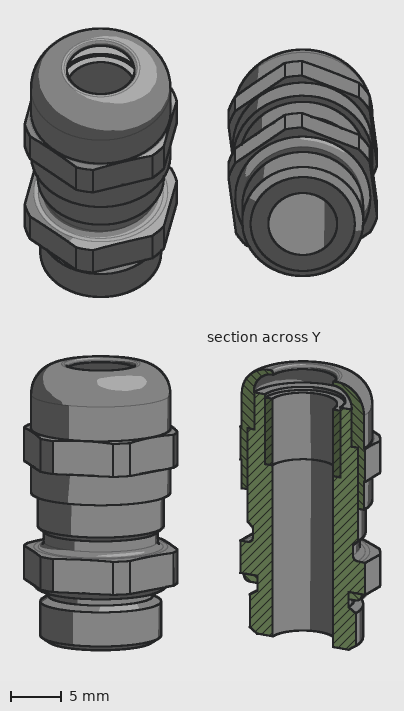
import cadquery as cq
import math


across_flats = 14.0
across_corners = 15.3

bore_radius = 3.39
seal_radius = 4.2
seal_top = 24.8
seal_length = 6.95

entry_radius = 5.97
entry_neck_radius = 5.13
entry_chamfer_height = 0.55
entry_thread_top = 3.97
entry_neck_bottom = 4.5
body_hex_bottom = 6.02
body_hex_top = 9.44
body_hex_face_radius = 6.6
body_hex_corner_drop = 0.1
upper_neck_radius = 5.63
upper_neck_fillet = 0.53
upper_neck_top = 11.02
cap_thread_radius = 6.22
cap_thread_bottom = 11.52
crown_radius = 5.47

cap_top = 27.75
cap_bottom = 14.87
cap_radius = 6.88
cap_hex_bottom = 17.85
cap_hex_top = 21.28
cap_hex_face_radius = 7.05
cap_hex_corner_drop = 0.15
dome_radius = 3.02
lip_radius = 3.33
lip_fillet = 0.28
lip_thickness = 0.47

lip_bottom = cap_top - lip_thickness
inner_dome_radius = crown_radius - lip_radius
crown_top = lip_bottom - inner_dome_radius

cap_thread_top = cap_hex_top

gasket_radius = 6.65
gasket_height = 0.75


def revolve_about_z(profile):
    """Close a half-section drawn as (radius, z) and turn it about the Z axis."""
    return profile.close().revolve(360, (0, 0, 0), (0, 1, 0))


def cylinder(radius, bottom, top):
    return cq.Workplane("XY").workplane(offset=bottom).circle(radius).extrude(top - bottom)


def arc_middle(centre_radius, centre_z, arc_radius, radial_sign=1, vertical_sign=1):
    """Return the middle point of a quarter arc."""
    reach = arc_radius * math.sqrt(0.5)
    return (centre_radius + radial_sign * reach, centre_z + vertical_sign * reach)


def make_hexagon(bottom, top, face_radius, corner_drop):
    """Hexagonal collar with rounded corners and a shallow conical top."""
    corner_radius = across_corners / 2
    prism = (
        cq.Workplane("XY")
        .workplane(offset=bottom)
        .polygon(6, across_flats, circumscribed=True)
        .extrude(top - bottom)
    )
    envelope = revolve_about_z(
        cq.Workplane("XZ")
        .moveTo(0, bottom)
        .lineTo(corner_radius, bottom)
        .lineTo(corner_radius, top - corner_drop)
        .lineTo(face_radius, top)
        .lineTo(0, top)
    )
    return prism.intersect(envelope)


def make_gasket():
    bottom = body_hex_bottom - gasket_height
    arc_centre_radius = gasket_radius - gasket_height
    return revolve_about_z(
        cq.Workplane("XZ")
        .moveTo(entry_neck_radius, bottom)
        .lineTo(arc_centre_radius, bottom)
        .threePointArc(
            arc_middle(arc_centre_radius, body_hex_bottom, gasket_height, 1, -1),
            (gasket_radius, body_hex_bottom),
        )
        .lineTo(entry_neck_radius, body_hex_bottom)
    )


def make_seal():
    sleeve = cylinder(seal_radius, seal_top - seal_length, seal_top)
    return sleeve.cut(cylinder(bore_radius, seal_top - seal_length, seal_top))


def make_body():
    fillet_outer = upper_neck_radius + upper_neck_fillet
    fillet_top = body_hex_top + upper_neck_fillet
    stem = revolve_about_z(
        cq.Workplane("XZ")
        .moveTo(0, 0)
        .lineTo(entry_neck_radius, 0)
        .lineTo(entry_radius, entry_chamfer_height)
        .lineTo(entry_radius, entry_thread_top)
        .lineTo(entry_neck_radius, entry_neck_bottom)
        .lineTo(entry_neck_radius, body_hex_top)
        .lineTo(fillet_outer, body_hex_top)
        .threePointArc(
            arc_middle(fillet_outer, fillet_top, upper_neck_fillet, -1, -1),
            (upper_neck_radius, fillet_top),
        )
        .lineTo(upper_neck_radius, upper_neck_top)
        .lineTo(cap_thread_radius, cap_thread_bottom)
        .lineTo(cap_thread_radius, cap_thread_top)
        .lineTo(crown_radius, cap_thread_top)
        .lineTo(crown_radius, crown_top)
        .lineTo(0, crown_top)
    )
    collar = make_hexagon(
        body_hex_bottom, body_hex_top, body_hex_face_radius, body_hex_corner_drop
    )
    bore = cylinder(bore_radius, 0, crown_top)
    seal_pocket = cylinder(seal_radius, seal_top - seal_length, crown_top)
    return stem.union(collar).cut(bore).cut(seal_pocket)


def make_cap():
    dome_centre_radius = cap_radius - dome_radius
    dome_bottom = cap_top - dome_radius
    fillet_centre_radius = lip_radius + lip_fillet
    fillet_bottom = cap_top - lip_fillet
    shell = revolve_about_z(
        cq.Workplane("XZ")
        .moveTo(cap_thread_radius, cap_bottom)
        .lineTo(cap_radius, cap_bottom)
        .lineTo(cap_radius, dome_bottom)
        .threePointArc(
            arc_middle(dome_centre_radius, dome_bottom, dome_radius),
            (dome_centre_radius, cap_top),
        )
        .lineTo(fillet_centre_radius, cap_top)
        .threePointArc(
            arc_middle(fillet_centre_radius, fillet_bottom, lip_fillet, -1, 1),
            (lip_radius, fillet_bottom),
        )
        .lineTo(lip_radius, lip_bottom)
        .threePointArc(
            arc_middle(lip_radius, crown_top, inner_dome_radius),
            (crown_radius, crown_top),
        )
        .lineTo(crown_radius, cap_thread_top)
        .lineTo(cap_thread_radius, cap_thread_top)
    )
    collar = make_hexagon(cap_hex_bottom, cap_hex_top, cap_hex_face_radius, cap_hex_corner_drop)
    collar = collar.cut(cylinder(cap_thread_radius, cap_hex_bottom, cap_hex_top))
    return shell.union(collar)


body = make_body()
cap = make_cap()
seal = make_seal()
gasket = make_gasket()

result = cq.Compound.makeCompound([body.val(), cap.val(), seal.val(), gasket.val()])